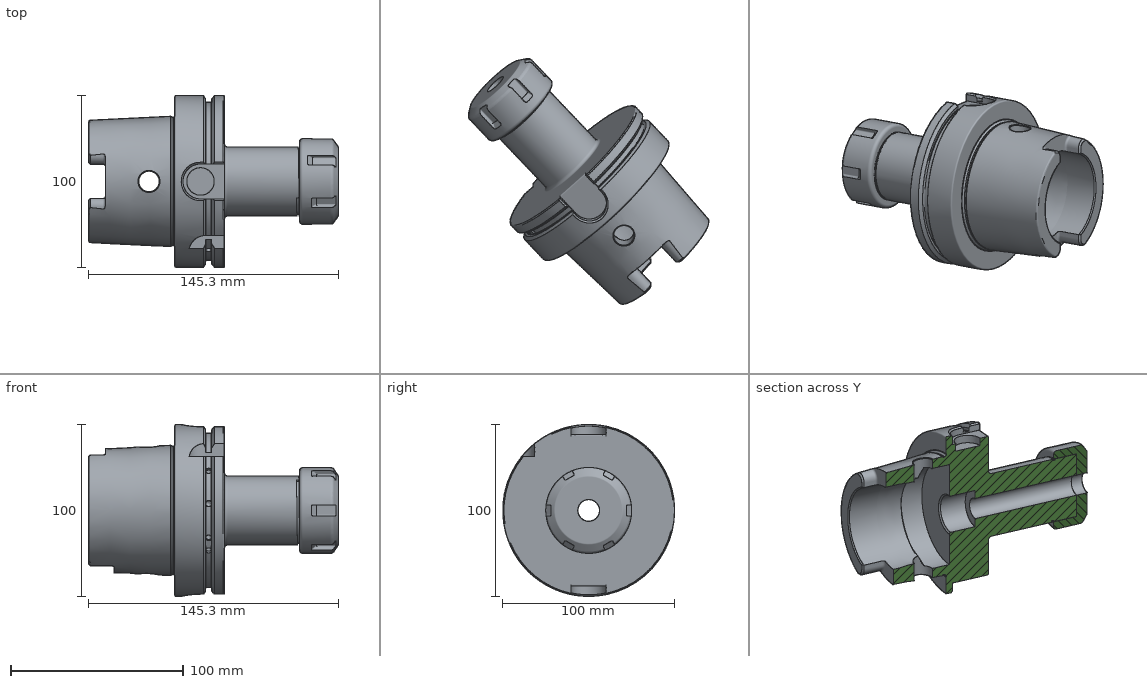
import cadquery as cq
import math

LENGTH = 145.3
CUT_OVERRUN = 1.5
PICK_MARGIN = 0.1

TAPER_END_RADIUS = 35.6
TAPER_BASE_RADIUS = 37.9
TAPER_LENGTH = 47.7
TAPER_EDGE_FILLET = 1.0
UNDERCUT_NECK_RADIUS = 37.3
UNDERCUT_NECK_START = 48.5
UNDERCUT_NECK_END = 49.4
UNDERCUT_FOOT_RADIUS = 38.5
UNDERCUT_FACE_RADIUS = 39.0
UNDERCUT_FACE_DEPTH = 0.6

BORE_RADIUS = 26.5
BORE_MOUTH_CHAMFER = 0.7
BORE_LIP_RADIUS = 25.4
BORE_LIP_START = 19.2
BORE_LIP_END = 34.9
BORE_CHAMBER_RADIUS = 31.5
BORE_CHAMBER_FLARE = 3.5
BORE_DEPTH = 52.3
COUNTERBORE_RADIUS = 11.3
COUNTERBORE_DEPTH = 17.5
COUNTERBORE_CHAMFER = 0.9
THROUGH_RADIUS = 6.2

DRIVE_HALF_WIDTH = 9.9
DRIVE_FLARE_RADIUS = 5.0
DRIVE_LAND_HEIGHT = 32.3
DRIVE_ROOT_FILLET = 1.3
DRIVE_MOUTH_CHAMFER = 1.0
TOP_DRIVE_DEPTH = 9.7
BOTTOM_DRIVE_DEPTH = 14.8

CROSS_HOLE_X = 35.0
CROSS_HOLE_RADIUS = 6.0
CROSS_HOLE_CHAMFER = 0.5

FLANGE_START = 50.0
FLANGE_END = 78.9
FLANGE_RADIUS = 50.0
FLANGE_FRONT_FILLET = 0.9
FLANGE_BACK_FILLET = 0.7
GROOVE_RADIUS = 46.0
GROOVE_FLOOR_FILLET = 0.3
GROOVE_FLOOR_START = 68.0
GROOVE_FLOOR_END = 71.5
GROOVE_MOUTH_START = 66.7
GROOVE_MOUTH_END = 73.1
GROOVE_WALL_RADIUS = 48.0

KEYWAY_HALF_WIDTH = 10.2
KEYWAY_END_X = 65.0
KEYWAY_FLOOR = 44.0
KEYWAY_CHAMFER = 1.0
CHIP_HOLE_RADIUS = 8.0
CHIP_HOLE_DEPTH = 4.6

NOTCH_OFFSET = 31.4
NOTCH_END_X = 68.0
NOTCH_END_RADIUS = 9.9

GROOVE_HOLE_ANGLES = (30.0, 5.0, -20.3, -30.3)
GROOVE_HOLE_RADIUS = 1.7
GROOVE_HOLE_DEPTH = 2.2
DRILL_POINT_ANGLE = 118.0

SHANK_RADIUS = 20.0
SHANK_FILLET = 2.0
SHANK_END = 138.0

THREAD_START_X = 120.7
THREAD_PITCH = 1.5
THREAD_DEPTH = 0.9
THREAD_WIDTH = 1.3
THREAD_START_ANGLE = 119.0

NUT_START = 122.5
NUT_RADIUS = 25.0
NUT_BACK_FILLET = 2.0
NUT_FACE_RADIUS = 19.8
NUT_FACE_FILLET = 1.2
NUT_CONE_START = 141.8
NUT_CONE_FILLET = 2.0
NUT_SLOT_COUNT = 6
NUT_SLOT_HALF_WIDTH = 3.2
NUT_SLOT_FLOOR_RADIUS = 22.0
NUT_SLOT_ROOT_FILLET = 0.7
NUT_SLOT_START = 129.3
LONG_SLOT_START = 127.0
LONG_SLOT_INDEX = 4


def turned(points):
    """Solid of revolution about X from (x, radius) points."""
    return cq.Workplane("XY").polyline(points).close().revolve(360, (0, 0, 0), (1, 0, 0))


def edges_at(x, reach):
    """Selector for the edges centred at one place along X, within a reach of the axis."""
    return cq.selectors.BoxSelector((x - PICK_MARGIN, -reach, -reach), (x + PICK_MARGIN, reach, reach))


def cylinder_x(start, end, radius):
    """Cylinder about the X axis."""
    return cq.Workplane("YZ", origin=(start, 0, 0)).circle(radius).extrude(end - start)


def drive_outline(x, clearance):
    """Outline of the +Z drive slot across X, widened all round by the clearance."""
    half_width = DRIVE_HALF_WIDTH + clearance
    land = DRIVE_LAND_HEIGHT - clearance
    flare_radius = DRIVE_FLARE_RADIUS - clearance
    flare_y = DRIVE_HALF_WIDTH + DRIVE_FLARE_RADIUS
    flare_z = DRIVE_LAND_HEIGHT - DRIVE_FLARE_RADIUS
    arc_y = flare_y - flare_radius * math.sqrt(0.5)
    arc_z = flare_z + flare_radius * math.sqrt(0.5)
    side = flare_y + DRIVE_FLARE_RADIUS
    bottom = BORE_RADIUS / 2
    top = TAPER_BASE_RADIUS + DRIVE_FLARE_RADIUS
    return (
        cq.Workplane("YZ", origin=(x, 0, 0))
        .moveTo(-half_width, bottom)
        .lineTo(-half_width, flare_z)
        .threePointArc((-arc_y, arc_z), (-flare_y, land))
        .lineTo(-side, land)
        .lineTo(-side, top)
        .lineTo(side, top)
        .lineTo(side, land)
        .lineTo(flare_y, land)
        .threePointArc((arc_y, arc_z), (half_width, flare_z))
        .lineTo(half_width, bottom)
        .close()
    )


def drive_slot(depth):
    """Cutter for the +Z drive slot: fillet at the deep end, chamfer at the mouth."""
    channel = drive_outline(0, 0).extrude(depth).faces(">X").edges().fillet(DRIVE_ROOT_FILLET)
    mouth_wires = [
        drive_outline(0, DRIVE_MOUTH_CHAMFER).val(),
        drive_outline(DRIVE_MOUTH_CHAMFER, 0).val(),
    ]
    return channel.union(cq.Workplane(cq.Solid.makeLoft(mouth_wires, True)))


def cross_hole():
    """Cutter for the hole through both taper walls."""
    reach = 2 * TAPER_BASE_RADIUS
    return (
        cq.Workplane("XY", origin=(CROSS_HOLE_X, 0, -reach / 2))
        .circle(CROSS_HOLE_RADIUS)
        .extrude(reach)
    )


def bore():
    """Cutter for the stepped bore from the open end, ending in a counterbore."""
    mouth = BORE_RADIUS + BORE_MOUTH_CHAMFER
    counterbore_end = BORE_DEPTH + COUNTERBORE_DEPTH
    return turned([
        (0, 0),
        (0, mouth),
        (BORE_MOUTH_CHAMFER, BORE_RADIUS),
        (BORE_LIP_START, BORE_RADIUS),
        (BORE_LIP_END, BORE_LIP_RADIUS),
        (BORE_LIP_END + BORE_CHAMBER_FLARE, BORE_CHAMBER_RADIUS),
        (BORE_DEPTH, BORE_CHAMBER_RADIUS),
        (BORE_DEPTH, COUNTERBORE_RADIUS + COUNTERBORE_CHAMFER),
        (BORE_DEPTH + COUNTERBORE_CHAMFER, COUNTERBORE_RADIUS),
        (counterbore_end, COUNTERBORE_RADIUS),
        (counterbore_end, 0),
    ])


def make_taper():
    """Solid taper with the undercut neck that runs into the flange face."""
    blank = turned([
        (0, 0),
        (0, TAPER_END_RADIUS),
        (TAPER_LENGTH, TAPER_BASE_RADIUS),
        (TAPER_LENGTH, 0),
    ])
    taper = blank.faces("<X").edges().fillet(TAPER_EDGE_FILLET).cut(cross_hole())
    taper = taper.edges(edges_at(CROSS_HOLE_X, TAPER_BASE_RADIUS)).chamfer(CROSS_HOLE_CHAMFER)
    recess_floor = FLANGE_START + UNDERCUT_FACE_DEPTH
    neck = turned([
        (TAPER_LENGTH, 0),
        (TAPER_LENGTH, TAPER_BASE_RADIUS),
        (UNDERCUT_NECK_START, UNDERCUT_NECK_RADIUS),
        (UNDERCUT_NECK_END, UNDERCUT_NECK_RADIUS),
        (recess_floor, UNDERCUT_FOOT_RADIUS),
        (recess_floor, 0),
    ])
    return taper.union(neck)


def keyway():
    """Cutter for the keyway on the +Z side, with a round end and open toward +X."""
    run = FLANGE_END - KEYWAY_END_X
    return (
        cq.Workplane("XY", origin=(KEYWAY_END_X, 0, KEYWAY_FLOOR))
        .moveTo(run, -KEYWAY_HALF_WIDTH)
        .lineTo(0, -KEYWAY_HALF_WIDTH)
        .threePointArc((-KEYWAY_HALF_WIDTH, 0), (0, KEYWAY_HALF_WIDTH))
        .lineTo(run, KEYWAY_HALF_WIDTH)
        .close()
        .extrude(FLANGE_RADIUS - KEYWAY_FLOOR)
    )


def is_keyway_rim(edge):
    """True for the edges where a keyway breaks out through the round flange surface."""
    center = edge.Center()
    rim_height = math.sqrt(FLANGE_RADIUS**2 - KEYWAY_HALF_WIDTH**2)
    between_faces = FLANGE_START + PICK_MARGIN < center.x < FLANGE_END - PICK_MARGIN
    beside_keyway = abs(center.y) < KEYWAY_HALF_WIDTH + PICK_MARGIN
    return between_faces and beside_keyway and abs(center.z) > rim_height - PICK_MARGIN


def chip_hole():
    """Cutter for the shallow round recess in the top keyway floor."""
    return (
        cq.Workplane("XY", origin=(KEYWAY_END_X, 0, KEYWAY_FLOOR - CHIP_HOLE_DEPTH))
        .circle(CHIP_HOLE_RADIUS)
        .extrude(CHIP_HOLE_DEPTH)
    )


def corner_notch():
    """Cutter for the square notch on the -Y, +Z corner, with a round end toward -X."""
    center_y = -NOTCH_OFFSET - NOTCH_END_RADIUS
    base = cq.Workplane("XY", origin=(NOTCH_END_X, center_y, NOTCH_OFFSET))
    run = FLANGE_END - NOTCH_END_X
    height = FLANGE_RADIUS - NOTCH_OFFSET
    channel = base.rect(2 * run, 2 * NOTCH_END_RADIUS).extrude(height)
    channel = channel.intersect(cylinder_x(NOTCH_END_X, FLANGE_END, 2 * FLANGE_RADIUS))
    round_end = base.circle(NOTCH_END_RADIUS).extrude(height)
    return channel.union(round_end)


def gripper_groove():
    """Ring cutter for the groove around the flange, with sloping mouth walls."""
    outside = FLANGE_RADIUS + CUT_OVERRUN
    ring = turned([
        (GROOVE_FLOOR_START, GROOVE_RADIUS),
        (GROOVE_FLOOR_START, GROOVE_WALL_RADIUS),
        (GROOVE_MOUTH_START, FLANGE_RADIUS),
        (GROOVE_MOUTH_START, outside),
        (GROOVE_MOUTH_END, outside),
        (GROOVE_MOUTH_END, FLANGE_RADIUS),
        (GROOVE_FLOOR_END, GROOVE_WALL_RADIUS),
        (GROOVE_FLOOR_END, GROOVE_RADIUS),
    ])
    for floor_end in (GROOVE_FLOOR_START, GROOVE_FLOOR_END):
        corner = cq.selectors.BoxSelector(
            (floor_end - PICK_MARGIN, -GROOVE_RADIUS - PICK_MARGIN, -GROOVE_RADIUS - PICK_MARGIN),
            (floor_end + PICK_MARGIN, GROOVE_RADIUS + PICK_MARGIN, GROOVE_RADIUS + PICK_MARGIN),
            boundingbox=True)
        ring = ring.edges(corner).fillet(GROOVE_FLOOR_FILLET)
    return ring


def groove_hole(angle):
    """Cutter for a drilled radial hole in the groove floor, at an angle up from -Y."""
    center_x = (GROOVE_FLOOR_START + GROOVE_FLOOR_END) / 2
    hole_floor = GROOVE_RADIUS - GROOVE_HOLE_DEPTH
    drill_tip = hole_floor - GROOVE_HOLE_RADIUS / math.tan(math.radians(DRILL_POINT_ANGLE / 2))
    return (
        cq.Workplane("XY", origin=(center_x, 0, 0))
        .moveTo(0, -GROOVE_RADIUS)
        .lineTo(GROOVE_HOLE_RADIUS, -GROOVE_RADIUS)
        .lineTo(GROOVE_HOLE_RADIUS, -hole_floor)
        .lineTo(0, -drill_tip)
        .close()
        .revolve(360, (0, 0, 0), (0, 1, 0))
        .rotate((0, 0, 0), (1, 0, 0), -angle)
    )


def make_flange():
    flange = cylinder_x(FLANGE_START, FLANGE_END, FLANGE_RADIUS)
    for side_angle in (0, 180):
        flange = flange.cut(keyway().rotate((0, 0, 0), (1, 0, 0), side_angle))
    flange = flange.edges().filter(is_keyway_rim).chamfer(KEYWAY_CHAMFER)
    flange = flange.faces(">X").edges("%CIRCLE or |Y").fillet(FLANGE_BACK_FILLET)
    flange = flange.faces("<X").edges("%CIRCLE").fillet(FLANGE_FRONT_FILLET)
    face_recess = cylinder_x(FLANGE_START, FLANGE_START + UNDERCUT_FACE_DEPTH, UNDERCUT_FACE_RADIUS)
    flange = flange.cut(face_recess).cut(chip_hole()).cut(corner_notch()).cut(gripper_groove())
    for angle in GROOVE_HOLE_ANGLES:
        flange = flange.cut(groove_hole(angle))
    return flange


def make_shank():
    """Round shank, flared at the flange and reaching into the nut."""
    bow = SHANK_FILLET * (1 - math.sqrt(0.5))
    foot_radius = SHANK_RADIUS + SHANK_FILLET
    fillet_end = FLANGE_END + SHANK_FILLET
    return (
        cq.Workplane("XY")
        .moveTo(FLANGE_END, 0)
        .lineTo(FLANGE_END, foot_radius)
        .threePointArc((FLANGE_END + bow, SHANK_RADIUS + bow), (fillet_end, SHANK_RADIUS))
        .lineTo(SHANK_END, SHANK_RADIUS)
        .lineTo(SHANK_END, 0)
        .close()
        .revolve(360, (0, 0, 0), (1, 0, 0))
    )


def thread_end():
    """Cutter for the last turn of the nut thread, a helical groove running out of the nut."""
    helix = cq.Wire.makeHelix(THREAD_PITCH, THREAD_PITCH, SHANK_RADIUS)
    groove = (
        cq.Workplane("XZ", origin=(SHANK_RADIUS, 0, THREAD_WIDTH / 2))
        .rect(2 * THREAD_DEPTH, THREAD_WIDTH)
        .sweep(cq.Workplane(helix), isFrenet=True)
    )
    along_x = groove.rotate((0, 0, 0), (1, 1, 1), 120)
    return along_x.rotate((0, 0, 0), (1, 0, 0), THREAD_START_ANGLE).translate((THREAD_START_X, 0, 0))


def make_holder():
    holder = make_taper().union(make_flange()).union(make_shank())
    holder = holder.cut(bore()).cut(cylinder_x(0, LENGTH, THROUGH_RADIUS)).cut(thread_end())
    holder = holder.cut(drive_slot(TOP_DRIVE_DEPTH))
    bottom_slot = drive_slot(BOTTOM_DRIVE_DEPTH).rotate((0, 0, 0), (1, 0, 0), 180)
    return holder.cut(bottom_slot)


def nut_slot(start):
    """Cutter for a spanner slot on the -Y side, its floor ramping out at 45 degrees."""
    outside = NUT_RADIUS + CUT_OVERRUN
    rise = outside - NUT_SLOT_FLOOR_RADIUS
    ramp_foot = start + NUT_RADIUS - NUT_SLOT_FLOOR_RADIUS
    cutter = (
        cq.Workplane("XY", origin=(0, 0, -NUT_SLOT_HALF_WIDTH))
        .moveTo(ramp_foot, -NUT_SLOT_FLOOR_RADIUS)
        .lineTo(ramp_foot - rise, -outside)
        .lineTo(LENGTH, -outside)
        .lineTo(LENGTH, -NUT_SLOT_FLOOR_RADIUS)
        .close()
        .extrude(2 * NUT_SLOT_HALF_WIDTH)
    )
    floor_and_ramp = cutter.faces("#Z").faces("not <Y").faces("not >X")
    return floor_and_ramp.edges("not |Z").fillet(NUT_SLOT_ROOT_FILLET)


def make_nut():
    nut = turned([
        (NUT_START, 0),
        (NUT_START, NUT_RADIUS),
        (NUT_CONE_START, NUT_RADIUS),
        (LENGTH, NUT_FACE_RADIUS),
        (LENGTH, 0),
    ])
    nut = nut.faces("<X").edges().fillet(NUT_BACK_FILLET)
    nut = nut.faces(">X").edges().fillet(NUT_FACE_FILLET)
    nut = nut.edges(edges_at(NUT_CONE_START, NUT_RADIUS)).fillet(NUT_CONE_FILLET)
    nut = nut.cut(cylinder_x(NUT_START, SHANK_END, SHANK_RADIUS))
    nut = nut.cut(cylinder_x(NUT_START, LENGTH, THROUGH_RADIUS))
    for index in range(NUT_SLOT_COUNT):
        start = LONG_SLOT_START if index == LONG_SLOT_INDEX else NUT_SLOT_START
        slot = nut_slot(start).rotate((0, 0, 0), (1, 0, 0), index * 360 / NUT_SLOT_COUNT)
        nut = nut.cut(slot)
    return nut


holder = make_holder()
nut = make_nut()
result = cq.Compound.makeCompound([holder.val(), nut.val()])